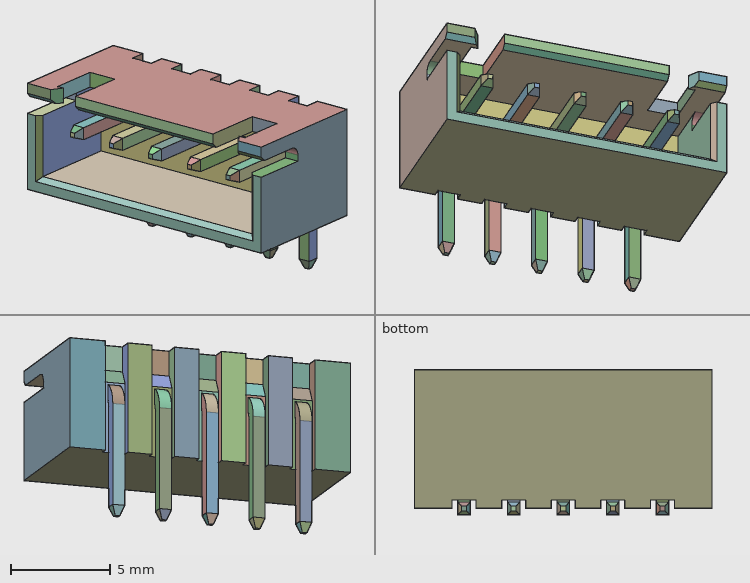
import cadquery as cq
import math


length = 15.01
depth_with_pins = 7.32
height = 5.7
wall = 0.8
cavity_depth = 5.0
chamfer = 0.25

pin_count = 5
pin_row_length = 10.0
pin = 0.65
pin_axis_height = 3.35
pin_drop = 3.39
tip_length = 0.51
tip_width = 0.25
tip_setback = 0.5
bend_outer_radius = 2 * pin
bend_inner_radius = bend_outer_radius - pin

side_slot_depth = 2.99
side_slot_height = 0.83
side_slot_radius = 0.5

latch_slot_outer = 6.0
latch_slot_inner = 4.41
latch_slot_depth = 3.2
barb_length = 0.57
barb_reach = 0.36

notch_width = 1.2
notch_top_depth = 0.84
notch_bottom_depth = 0.42
notch_slope_angle = 60.0

depth = depth_with_pins - pin / 2
pitch = pin_row_length / (pin_count - 1)
pin_places = [(i - (pin_count - 1) / 2) * pitch for i in range(pin_count)]
ceiling = height - wall
diagonal = math.sqrt(0.5)


def extrude_across(profile, x_center, width):
    """Extrude a closed outline drawn in (y, z) along X, centred on x_center."""
    return profile.extrude(width / 2, both=True).translate((x_center, 0, 0))


def housing_shell():
    """Outer block with the mating cavity and its chamfered mouth."""
    block = cq.Workplane("XY").box(length, depth, height, centered=(True, False, False))
    cavity_width = length - 2 * wall
    cavity_height = ceiling - wall
    cavity = (
        cq.Workplane("XY")
        .box(cavity_width, cavity_depth, cavity_height, centered=(True, False, False))
        .translate((0, 0, wall))
    )
    mouth = (
        cq.Workplane("XZ")
        .center(0, (wall + ceiling) / 2)
        .rect(cavity_width + 2 * chamfer, cavity_height + 2 * chamfer)
        .workplane(offset=-chamfer)
        .rect(cavity_width, cavity_height)
        .loft(ruled=True)
    )
    return block.cut(cavity).cut(mouth)


def side_openings():
    """Slot through both end walls, rounded at its upper inner corner."""
    slot_floor = ceiling - side_slot_height
    arc_offset = side_slot_radius * (1 - diagonal)
    profile = (
        cq.Workplane("YZ")
        .moveTo(0, slot_floor)
        .lineTo(side_slot_depth, slot_floor)
        .lineTo(side_slot_depth, ceiling - side_slot_radius)
        .threePointArc(
            (side_slot_depth - arc_offset, ceiling - arc_offset),
            (side_slot_depth - side_slot_radius, ceiling),
        )
        .lineTo(chamfer, ceiling)
        .lineTo(0, ceiling + chamfer)
        .close()
    )
    return extrude_across(profile, 0, length)


def latch_slot(side):
    """Open slot in the top plate with a barb at its outer front edge; side is -1 or 1."""
    barb_tip = latch_slot_outer - barb_reach
    outline = [
        (latch_slot_inner, 0),
        (latch_slot_outer, 0),
        (barb_tip, barb_length),
        (latch_slot_outer, barb_length),
        (latch_slot_outer, latch_slot_depth),
        (latch_slot_inner, latch_slot_depth),
    ]
    return (
        cq.Workplane("XY", origin=(0, 0, ceiling))
        .polyline([(side * x, y) for x, y in outline])
        .close()
        .extrude(wall)
    )


def back_notch(x_center):
    """Full-height notch in the back wall, deeper above a sloped ledge over the pin."""
    ledge_low = pin_axis_height + pin / 2
    ledge_rise = (notch_top_depth - notch_bottom_depth) * math.tan(math.radians(notch_slope_angle))
    profile = (
        cq.Workplane("YZ")
        .moveTo(depth, 0)
        .lineTo(depth - notch_bottom_depth, 0)
        .lineTo(depth - notch_bottom_depth, ledge_low)
        .lineTo(depth - notch_top_depth, ledge_low + ledge_rise)
        .lineTo(depth - notch_top_depth, height)
        .lineTo(depth, height)
        .close()
    )
    return extrude_across(profile, x_center, notch_width)


def pin_tip(workplane):
    """Square tip tapering outwards from the workplane."""
    return (
        workplane.rect(pin, pin)
        .workplane(offset=tip_length)
        .rect(tip_width, tip_width)
        .loft(ruled=True)
    )


def bent_pin(x_center):
    """Square pin running through the back wall and bending down behind the housing."""
    front = tip_setback + tip_length
    back = depth + pin / 2
    top = pin_axis_height + pin / 2
    bottom = tip_length - pin_drop
    bend_y = back - bend_outer_radius
    bend_z = top - bend_outer_radius
    profile = (
        cq.Workplane("YZ")
        .moveTo(front, top)
        .lineTo(bend_y, top)
        .threePointArc(
            (bend_y + bend_outer_radius * diagonal, bend_z + bend_outer_radius * diagonal),
            (back, bend_z),
        )
        .lineTo(back, bottom)
        .lineTo(back - pin, bottom)
        .lineTo(back - pin, bend_z)
        .threePointArc(
            (bend_y + bend_inner_radius * diagonal, bend_z + bend_inner_radius * diagonal),
            (bend_y, top - pin),
        )
        .lineTo(front, top - pin)
        .close()
    )
    mating_tip = pin_tip(cq.Workplane("XZ", origin=(x_center, front, pin_axis_height)))
    board_tip = pin_tip(cq.Workplane("XY", origin=(x_center, depth, bottom)).transformed((180, 0, 0)))
    return extrude_across(profile, x_center, pin).union(mating_tip).union(board_tip)


result = housing_shell().cut(side_openings())
for side in (-1, 1):
    result = result.cut(latch_slot(side))
for x in pin_places:
    result = result.cut(back_notch(x))
for x in pin_places:
    result = result.union(bent_pin(x))